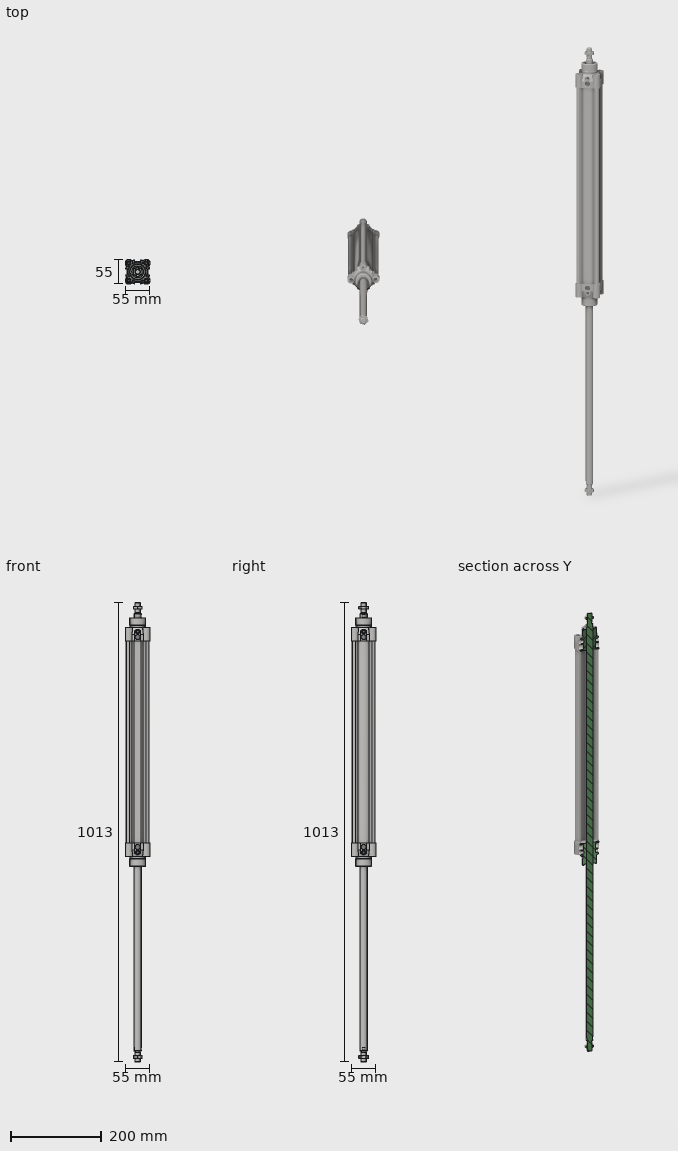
import cadquery as cq
import math

TOTAL_LENGTH = 1013.0
THREAD_LENGTH = 24.0
SHOULDER_TO_CAP = 30.0
CAP_LENGTH = 30.0
BARREL_LENGTH = 445.0

WIDTH = 55.0
BORE_DIAMETER = 40.0
BARREL_DIAMETER = 44.0
RIB_CENTRE = 20.0
RIB_RADIUS = 5.0
RIB_INNER_EDGE = 18.0
RIB_FOOT = 12.0
SENSOR_GROOVE_WIDTH = 15.0
SENSOR_GROOVE_DEPTH = 1.5

SCREW_OFFSET = 19.0
LOBE_RADIUS = WIDTH / 2 - SCREW_OFFSET
CORE_DIAMETER = WIDTH
CORE_END_DIAMETER = 43.0
CORE_STRAIGHT_LENGTH = 15.0
FLAT_WIDTH = 13.0
FLAT_OFFSET = 23.0
SCREW_HEAD_DIAMETER = 10.0
SCREW_HEAD_DEPTH = 6.0
SCREW_THREAD_DIAMETER = 6.0
SCREW_THREAD_DEPTH = 16.0

PORT_DIAMETER = 11.0
PORT_HEIGHT = 9.0
PORT_DEPTH = 8.0
CUSHION_HEAD_DIAMETER = 10.0
CUSHION_HEAD_DEPTH = 3.0
CUSHION_DIAMETER = 6.2
CUSHION_DEPTH = 9.0
CUSHION_HEIGHT = 21.0

COLLAR_DIAMETER = 35.0
COLLAR_LENGTH = 21.0
COLLAR_CHAMFER = 1.0
COLLAR_BASE_DIAMETER = 34.0
COLLAR_BASE_LENGTH = 4.0
COLLAR_GROOVE_DIAMETER = 33.0
COLLAR_GROOVE_TOP = 5.0
COLLAR_RECESS_DIAMETER = 26.0
COLLAR_RECESS_DEPTH = 2.0

ROD_DIAMETER = 16.0
THREAD_DIAMETER = 12.0
THREAD_CHAMFER = 1.0
UNDERCUT_DIAMETER = 11.0
UNDERCUT_LENGTH = 3.0
ROD_CHAMFER = 1.0
FLATS_WIDTH = 15.0
FLATS_LENGTH = 6.0
FLATS_FROM_SHOULDER = 2.0

NUT_ACROSS_FLATS = 19.0
NUT_HEIGHT = 6.0
NUT_CHAMFER = 1.0
NUT_FROM_END = 8.0

ROD_TOP = TOTAL_LENGTH / 2
SHOULDER_Z = ROD_TOP - THREAD_LENGTH
BARREL_TOP = SHOULDER_Z - SHOULDER_TO_CAP - CAP_LENGTH
BARREL_BOTTOM = BARREL_TOP - BARREL_LENGTH
QUARTER_TURNS = (0, 90, 180, 270)
END_TURNS = (0, 180)


def cylinder(diameter, length):
    return cq.Workplane("XY").circle(diameter / 2).extrude(length)


def corner_points():
    return [(x, y) for x in (-SCREW_OFFSET, SCREW_OFFSET) for y in (-SCREW_OFFSET, SCREW_OFFSET)]


def turned_about_z(shape, angle):
    return shape.rotate((0, 0, 0), (0, 0, 1), angle)


def turned_about_x(shape, angle):
    return shape.rotate((0, 0, 0), (1, 0, 0), angle)


def make_rib():
    """Rib at the +X +Y corner: a rounded tip on walls that spread towards the bore."""
    tip_reach = RIB_CENTRE + math.sqrt(RIB_RADIUS**2 - (RIB_CENTRE - RIB_INNER_EDGE) ** 2)
    foot_reach = math.sqrt((BARREL_DIAMETER / 2) ** 2 - RIB_FOOT**2)
    tip_middle = RIB_CENTRE + RIB_RADIUS / math.sqrt(2)
    return (
        cq.Workplane("XY")
        .moveTo(RIB_FOOT, foot_reach)
        .lineTo(RIB_INNER_EDGE, tip_reach)
        .threePointArc((tip_middle, tip_middle), (tip_reach, RIB_INNER_EDGE))
        .lineTo(foot_reach, RIB_FOOT)
        .close()
        .extrude(BARREL_LENGTH)
    )


def make_sensor_groove():
    """Cutter for a shallow groove with a round floor, along the +Y side of the barrel."""
    half_width = SENSOR_GROOVE_WIDTH / 2
    outside = BARREL_DIAMETER / 2
    rim = math.sqrt(outside**2 - half_width**2)
    return (
        cq.Workplane("XY")
        .moveTo(-half_width, rim)
        .threePointArc((0, outside - SENSOR_GROOVE_DEPTH), (half_width, rim))
        .lineTo(half_width, outside)
        .lineTo(-half_width, outside)
        .close()
        .extrude(BARREL_LENGTH)
    )


def make_barrel():
    """Bored tube with a rib at each corner and a sensor groove along each Y side."""
    barrel = cylinder(BARREL_DIAMETER, BARREL_LENGTH)
    for angle in QUARTER_TURNS:
        barrel = barrel.union(turned_about_z(make_rib(), angle))
    for angle in END_TURNS:
        barrel = barrel.cut(turned_about_z(make_sensor_groove(), angle))
    barrel = barrel.cut(cylinder(BORE_DIAMETER, BARREL_LENGTH))
    return barrel.translate((0, 0, BARREL_BOTTOM))


def make_turned_core():
    """Round core of a cap and its collar, turned in one profile of (radius, height)."""
    collar_end = CAP_LENGTH + COLLAR_LENGTH
    return (
        cq.Workplane("XZ")
        .lineTo(CORE_DIAMETER / 2, 0)
        .lineTo(CORE_DIAMETER / 2, CORE_STRAIGHT_LENGTH)
        .lineTo(CORE_END_DIAMETER / 2, CAP_LENGTH)
        .lineTo(COLLAR_BASE_DIAMETER / 2, CAP_LENGTH)
        .lineTo(COLLAR_BASE_DIAMETER / 2, CAP_LENGTH + COLLAR_BASE_LENGTH)
        .lineTo(COLLAR_GROOVE_DIAMETER / 2, CAP_LENGTH + COLLAR_GROOVE_TOP)
        .lineTo(COLLAR_DIAMETER / 2, CAP_LENGTH + COLLAR_GROOVE_TOP)
        .lineTo(COLLAR_DIAMETER / 2, collar_end - COLLAR_CHAMFER)
        .lineTo(COLLAR_DIAMETER / 2 - COLLAR_CHAMFER, collar_end)
        .lineTo(COLLAR_RECESS_DIAMETER / 2, collar_end)
        .lineTo(COLLAR_RECESS_DIAMETER / 2, collar_end - COLLAR_RECESS_DEPTH)
        .lineTo(0, collar_end - COLLAR_RECESS_DEPTH)
        .close()
        .revolve(360, (0, 0, 0), (0, 1, 0))
    )


def side_hole(diameter, height, depth):
    """Hole sunk into the +Y side of a cap, its depth counted from the flat."""
    outside = WIDTH / 2
    start = cq.Workplane("XZ", origin=(0, outside, height))
    return start.circle(diameter / 2).extrude(outside - FLAT_OFFSET + depth)


def make_side_cutter():
    """Flat, port and stepped cushion-screw hole on the +Y side of a cap."""
    flat = cq.Workplane("XY").rect(FLAT_WIDTH, WIDTH).extrude(CAP_LENGTH)
    flat = flat.translate((0, FLAT_OFFSET + WIDTH / 2, 0))
    port = side_hole(PORT_DIAMETER, PORT_HEIGHT, PORT_DEPTH)
    cushion_head = side_hole(CUSHION_HEAD_DIAMETER, CUSHION_HEIGHT, CUSHION_HEAD_DEPTH)
    cushion_screw = side_hole(CUSHION_DIAMETER, CUSHION_HEIGHT, CUSHION_DEPTH)
    return flat.union(port).union(cushion_head).union(cushion_screw)


def make_cap():
    """Cap standing on the barrel at Z = 0 with its collar pointing up."""
    lobes = cq.Workplane("XY").pushPoints(corner_points()).circle(LOBE_RADIUS).extrude(CAP_LENGTH)
    cap = make_turned_core().union(lobes)
    for angle in QUARTER_TURNS:
        cap = cap.cut(turned_about_z(make_side_cutter(), angle))
    cap_end = cq.Workplane("XY", origin=(0, 0, CAP_LENGTH)).pushPoints(corner_points())
    head_recesses = cap_end.circle(SCREW_HEAD_DIAMETER / 2).extrude(-SCREW_HEAD_DEPTH)
    screw_holes = cap_end.circle(SCREW_THREAD_DIAMETER / 2).extrude(-SCREW_THREAD_DEPTH)
    rod_hole = cylinder(ROD_DIAMETER, CAP_LENGTH + COLLAR_LENGTH)
    return cap.cut(head_recesses).cut(screw_holes).cut(rod_hole)


def make_undercut():
    """Ring that narrows the stud just above the upper shoulder."""
    ring = cylinder(ROD_DIAMETER, UNDERCUT_LENGTH).cut(cylinder(UNDERCUT_DIAMETER, UNDERCUT_LENGTH))
    return ring.translate((0, 0, SHOULDER_Z))


def make_wrench_flats():
    """Pair of blocks that cut flats on the X sides of the rod below the upper shoulder."""
    block = cq.Workplane("XY").box(ROD_DIAMETER, 2 * ROD_DIAMETER, FLATS_LENGTH)
    x = (FLATS_WIDTH + ROD_DIAMETER) / 2
    z = SHOULDER_Z - FLATS_FROM_SHOULDER - FLATS_LENGTH / 2
    return block.translate((-x, 0, z)).union(block.translate((x, 0, z)))


def make_rod():
    """Through rod with a threaded stud, undercut and wrench flats at each end."""
    rod = cylinder(ROD_DIAMETER, 2 * SHOULDER_Z).edges().chamfer(ROD_CHAMFER).translate((0, 0, -SHOULDER_Z))
    studs = cylinder(THREAD_DIAMETER, TOTAL_LENGTH).edges().chamfer(THREAD_CHAMFER)
    rod = rod.union(studs.translate((0, 0, -ROD_TOP)))
    for angle in END_TURNS:
        rod = rod.cut(turned_about_x(make_undercut(), angle))
        rod = rod.cut(turned_about_x(make_wrench_flats(), angle))
    return rod


def make_nut():
    """Hexagon nut on the upper stud, with a corner towards -Y and its corners chamfered."""
    across_corners = NUT_ACROSS_FLATS / math.cos(math.radians(30))
    hexagon = cq.Workplane("XY").polygon(6, across_corners).extrude(NUT_HEIGHT)
    blank = cylinder(across_corners, NUT_HEIGHT).edges().chamfer(NUT_CHAMFER)
    nut = turned_about_z(hexagon, 30).intersect(blank).cut(cylinder(THREAD_DIAMETER, NUT_HEIGHT))
    return nut.translate((0, 0, ROD_TOP - NUT_FROM_END - NUT_HEIGHT))


barrel = make_barrel()
rod = make_rod()
top_cap, bottom_cap = (turned_about_x(make_cap(), angle) for angle in END_TURNS)
caps = [
    top_cap.translate((0, 0, BARREL_TOP)),
    bottom_cap.translate((0, 0, BARREL_BOTTOM)),
]
nuts = [turned_about_x(make_nut(), angle) for angle in END_TURNS]
result = cq.Compound.makeCompound(
    [barrel.val(), rod.val(), *[cap.val() for cap in caps], *[nut.val() for nut in nuts]]
)